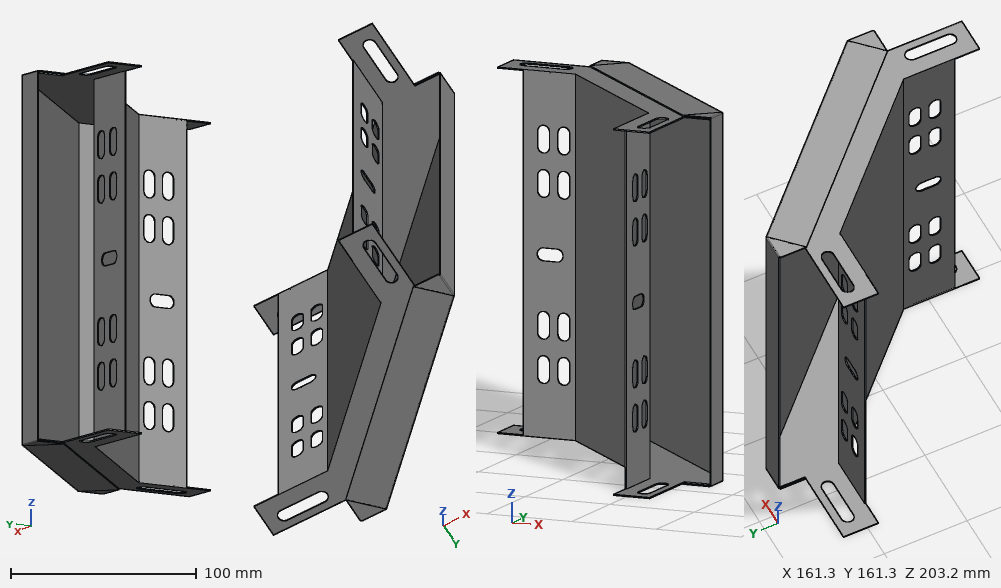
import cadquery as cq
import math

span = 161.3
height = 203.2
sheet = 0.71

channel_depth = 37.0
flange_width = 21.1
bend_start = 46.0
wall_start = 15.0
inner_face = span - channel_depth
leg_edge = inner_face + flange_width
bend_shift = math.tan(math.pi / 8)

cover_inside = span - sheet
cover_corner = inner_face + bend_start + math.sqrt(2) * channel_depth - span
cover_inside_corner = cover_corner - sheet * bend_shift
fold_radius = 0.6
lip_overhang = 0.6
slit_width = 0.06

slot_width = 7.1
flange_slot_length = 30.5
flange_slot_center = (23.0, inner_face + 13.0)
wall_slot_length = 15.2
wall_slot_columns = (27.0, 39.0)
wall_slot_heights = (39.0, 63.5)
middle_slot_x = 30.9

bracket_height = height - 2 * sheet
tolerance = 0.02


def symmetric_prism(half_outline, bottom, thickness):
    """Upright prism whose outline is half_outline followed by its reflection in X = Y."""
    reflected = [(y, x) for x, y in reversed(half_outline)]
    plane = cq.Workplane("XY", origin=(0, 0, bottom))
    return plane.polyline(half_outline + reflected).close().extrude(thickness)


def cut_on_both_legs(body, tool):
    """Cut a tool and its reflection in X = Y; the tool must be symmetric about Z = 0."""
    reflected_tool = tool.rotate((0, 0, 0), (1, 1, 0), 180)
    return body.cut(tool).cut(reflected_tool)


def folded_wall(end, corner, face, wall_height):
    """Wall of one sheet, folded 45 degrees twice, with its inside corner at (corner, face)."""
    back = face + sheet
    back_corner = corner + sheet * bend_shift
    half_outline = [(back_corner, back), (end, back), (end, face), (corner, face)]
    return symmetric_prism(half_outline, -wall_height / 2, wall_height)


def add_top_and_bottom(body, half_outline, total_height):
    """Add one sheet of the given outline flush with the top and one flush with the bottom."""
    for bottom in (-total_height / 2, total_height / 2 - sheet):
        body = body.union(symmetric_prism(half_outline, bottom, sheet))
    return body


def flange_slots():
    """Upright cutter for the long slot near the leg end, in both flanges."""
    tool = cq.Workplane("XY").center(*flange_slot_center).slot2D(flange_slot_length, slot_width)
    return tool.extrude(height, both=True)


def wall_slots():
    """Cutters for the eight upright slots and the level middle slot of the inner wall."""
    centers = [(x, side * z) for x in wall_slot_columns for z in wall_slot_heights for side in (-1, 1)]
    plane = cq.Workplane("XZ", origin=(0, inner_face, 0))
    upright = plane.pushPoints(centers).slot2D(wall_slot_length, slot_width, 90)
    tools = upright.extrude(2 * sheet, both=True)
    level = cq.Workplane("XZ", origin=(middle_slot_x, inner_face, 0)).slot2D(wall_slot_length, slot_width)
    return tools.union(level.extrude(2 * sheet, both=True))


def make_bracket():
    """Inner wall with a two-legged flange at each end, reaching under the cover lips."""
    bracket = folded_wall(wall_start, bend_start, inner_face, bracket_height)
    flange = [
        (cover_inside_corner, cover_inside),
        (bend_start, cover_inside),
        (bend_start, leg_edge),
        (0, leg_edge),
        (0, inner_face),
        (bend_start, inner_face),
    ]
    bracket = add_top_and_bottom(bracket, flange, bracket_height)
    bracket = cut_on_both_legs(bracket, flange_slots())
    return cut_on_both_legs(bracket, wall_slots())


def lip_slit():
    """Thin diagonal blade from the free lip corner to the inside corner of the cover wall."""
    reach = cover_inside_corner - bend_start + 2 * lip_overhang
    length = math.sqrt(2) * reach
    blade = cq.Workplane("XY").box(length, slit_width, 2 * height)
    blade = blade.rotate((0, 0, 0), (0, 0, 1), 45)
    return blade.translate((cover_inside_corner - reach / 2, cover_inside - reach / 2, 0))


def on_cover_rim(edge):
    """True for the top and bottom edges of the outer faces of the cover wall."""
    center = edge.Center()
    at_end = abs(center.z) > height / 2 - tolerance
    on_end_wall = max(center.x, center.y) > span - tolerance
    on_diagonal = center.x + center.y > span + cover_corner - tolerance
    return at_end and (on_end_wall or on_diagonal)


def make_cover():
    """Folded outer wall with slit lips that lie on the bracket flanges."""
    wall = folded_wall(bend_start, cover_inside_corner, cover_inside, height)
    cover = wall.edges().filter(on_cover_rim).fillet(fold_radius)
    lip_end = bend_start - lip_overhang
    lip = [
        (cover_inside_corner, cover_inside),
        (lip_end, cover_inside),
        (lip_end, leg_edge - lip_overhang),
    ]
    cover = add_top_and_bottom(cover, lip, height)
    return cut_on_both_legs(cover, lip_slit())


bracket = make_bracket()
cover = make_cover()
result = cq.Compound.makeCompound([bracket.solids().val(), cover.solids().val()])